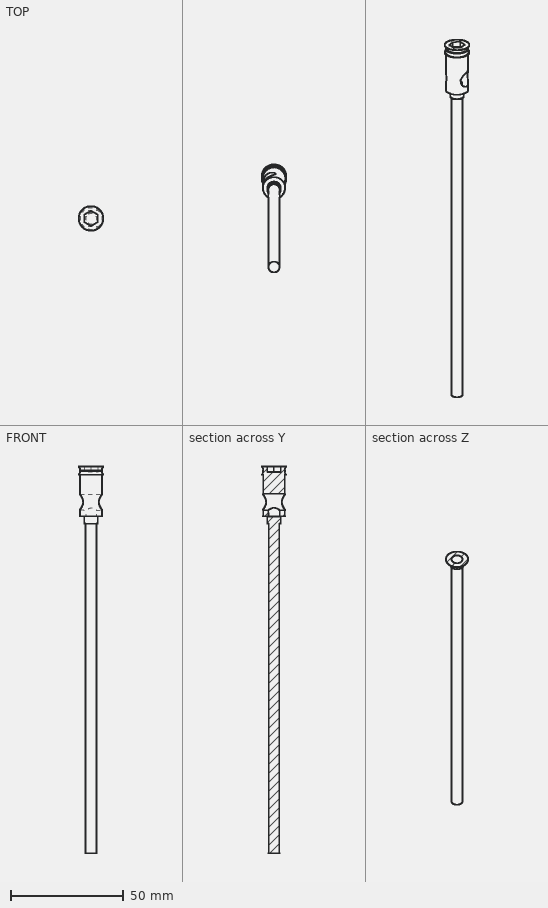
import cadquery as cq
import math

total_length = 172.5

flange_diameter = 11.0
head_diameter = 10.0
collar_diameter = 6.0
rod_diameter = 5.0

head_depth = 22.3
collar_depth = 25.5
lower_flange_bottom_depth = 3.8

flange_thickness = 0.2
fillet_height = 1.0

groove_width = 0.3
groove_radial_depth = 0.2

socket_across_flats = 5.9
socket_depth = 2.5

cross_hole_diameter = 7.0
cross_hole_depth = 15.9

axial_bore_diameter = 4.8


def turned_body():
    """Revolve the rod, collar, head and double-flanged top about Z."""
    flange_radius = flange_diameter / 2
    head_radius = head_diameter / 2
    collar_radius = collar_diameter / 2
    rod_radius = rod_diameter / 2
    collar_bottom = total_length - collar_depth
    head_bottom = total_length - head_depth
    lower_flange_bottom = total_length - lower_flange_bottom_depth
    lower_flange_top = lower_flange_bottom + flange_thickness
    upper_flange_bottom = total_length - flange_thickness
    flange_overhang = flange_radius - head_radius
    fillet_radius = (fillet_height**2 + flange_overhang**2) / (2 * flange_overhang)
    lower_fillet_end = lower_flange_top + fillet_height
    upper_fillet_end = upper_flange_bottom - fillet_height
    groove_radius = head_radius - groove_radial_depth
    groove_middle = (lower_flange_top + upper_flange_bottom) / 2
    groove_bottom = groove_middle - groove_width / 2
    groove_top = groove_middle + groove_width / 2
    return (
        cq.Workplane("XZ")
        .lineTo(rod_radius, 0)
        .lineTo(rod_radius, collar_bottom)
        .lineTo(collar_radius, collar_bottom)
        .lineTo(collar_radius, head_bottom)
        .lineTo(head_radius, head_bottom)
        .lineTo(head_radius, lower_flange_bottom)
        .lineTo(flange_radius, lower_flange_bottom)
        .lineTo(flange_radius, lower_flange_top)
        .radiusArc((head_radius, lower_fillet_end), fillet_radius)
        .lineTo(head_radius, groove_bottom)
        .lineTo(groove_radius, groove_bottom)
        .lineTo(groove_radius, groove_top)
        .lineTo(head_radius, groove_top)
        .lineTo(head_radius, upper_fillet_end)
        .radiusArc((flange_radius, upper_flange_bottom), fillet_radius)
        .lineTo(flange_radius, total_length)
        .lineTo(0, total_length)
        .close()
        .revolve(360, (0, 0), (0, 1))
    )


def hex_socket():
    """Make the blind hexagonal recess in the top face."""
    across_corners = socket_across_flats / math.cos(math.pi / 6)
    return (
        cq.Workplane("XY", origin=(0, 0, total_length - socket_depth))
        .transformed(rotate=(0, 0, 90))
        .polygon(6, across_corners)
        .extrude(socket_depth)
    )


def cross_hole():
    """Make the cylinder that passes through the head along X."""
    return (
        cq.Workplane("YZ", origin=(0, 0, total_length - cross_hole_depth))
        .circle(cross_hole_diameter / 2)
        .extrude(head_diameter, both=True)
    )


def axial_bore():
    """Make the vertical bore that opens into the floor of the cross hole."""
    return (
        cq.Workplane("XY", origin=(0, 0, total_length - head_depth))
        .circle(axial_bore_diameter / 2)
        .extrude(head_depth - cross_hole_depth)
    )


result = turned_body().cut(hex_socket()).cut(cross_hole()).cut(axial_bore())